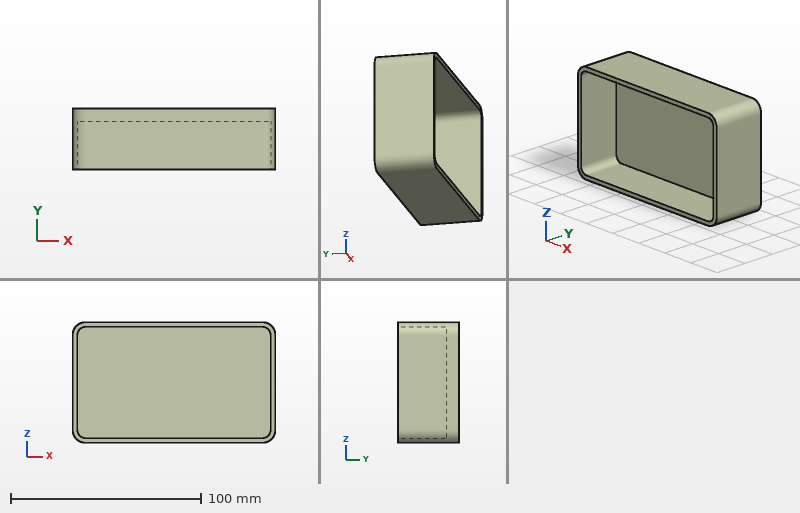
import cadquery as cq

length = 106.6
depth = 32.1
height = 63.5

wall = 2.54
cavity_depth = 25.4
outer_radius = 6.75
inner_radius = outer_radius - wall


def rounded_block(size_x, size_y, size_z, corner_radius):
    """Block with its four Y-direction edges rounded, centred on X and Z, front face at Y = 0."""
    block = cq.Workplane("XY").box(size_x, size_y, size_z, centered=(True, False, True))
    return block.edges("|Y").fillet(corner_radius)


body = rounded_block(length, depth, height, outer_radius)
cavity = rounded_block(length - 2 * wall, cavity_depth, height - 2 * wall, inner_radius)

result = body.cut(cavity)